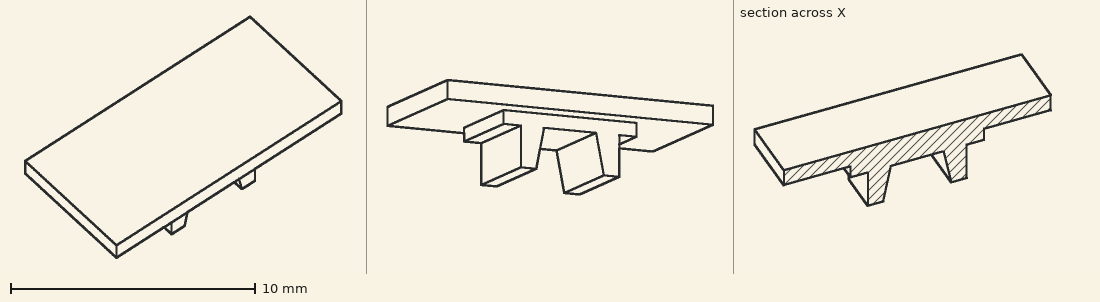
import cadquery as cq

plate_width = 5.85
plate_length = 12.0
plate_thickness = 0.8
total_height = 3.13

pad_width = 3.85
pad_length = 6.0
pad_thickness = 0.58

legs_outer_span = 4.45
leg_root_thickness = 1.05
leg_tip_thickness = 0.7

plate_bottom = total_height - plate_thickness
leg_height = plate_bottom - pad_thickness


def make_block(width, length, thickness, bottom):
    """Box centred on the Z axis, standing on the given height."""
    return (
        cq.Workplane("XY")
        .workplane(offset=bottom)
        .box(width, length, thickness, centered=(True, True, False))
    )


def make_leg(side):
    """Leg across the pad width; side is +1 for the +Y leg and -1 for the -Y leg."""
    outer = legs_outer_span / 2
    profile = [
        (side * outer, leg_height),
        (side * outer, 0),
        (side * (outer - leg_tip_thickness), 0),
        (side * (outer - leg_root_thickness), leg_height),
    ]
    return cq.Workplane("YZ").polyline(profile).close().extrude(pad_width / 2, both=True)


plate = make_block(plate_width, plate_length, plate_thickness, plate_bottom)
pad = make_block(pad_width, pad_length, pad_thickness, leg_height)

result = plate.union(pad)
for side in (-1, 1):
    result = result.union(make_leg(side))